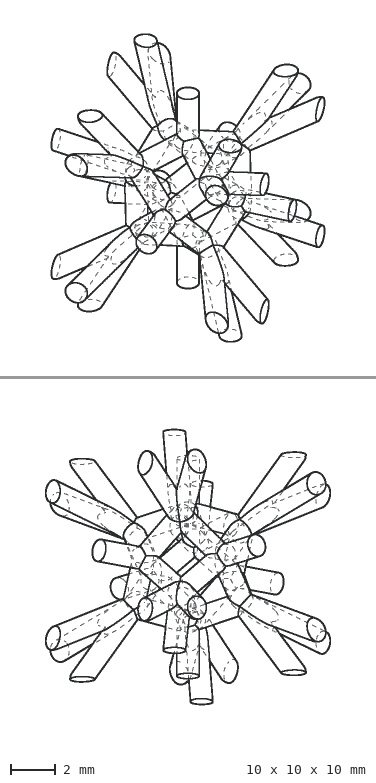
import cadquery as cq

cell = 10.0
strut_diameter = 1.0
strut_radius = strut_diameter / 2
half_cell = cell / 2
axis_reach = cell / 4
corner_reach = 1.74
branch_reach = 3.39
signs = (-1, 1)


def strut(start, end):
    """Round bar between two points."""
    base = cq.Vector(*start)
    path = cq.Vector(*end) - base
    return cq.Solid.makeCylinder(strut_radius, path.Length, base, path)


def ball(center):
    """Sphere that rounds a joint or a branch end."""
    return cq.Workplane("XY").sphere(strut_radius).translate(center).val()


def along_axis(axis, distance):
    """Point on one of the three main axes."""
    return tuple(distance if i == axis else 0 for i in range(3))


pieces = []

for axis in range(3):
    for sign in signs:
        joint = along_axis(axis, sign * axis_reach)
        pieces.append(strut(joint, along_axis(axis, sign * half_cell)))
        pieces.append(ball(joint))

for octant in [(x, y, z) for x in signs for y in signs for z in signs]:
    corner = tuple(sign * corner_reach for sign in octant)
    pieces.append(ball(corner))
    for axis in range(3):
        pieces.append(strut(corner, along_axis(axis, octant[axis] * axis_reach)))
        branch_end = tuple(
            sign * (half_cell if i == axis else branch_reach) for i, sign in enumerate(octant)
        )
        pieces.append(strut(corner, branch_end))
        pieces.append(ball(branch_end))

lattice = pieces[0].fuse(*pieces[1:])
result = cq.Workplane("XY").box(cell, cell, cell).intersect(cq.Workplane(lattice))